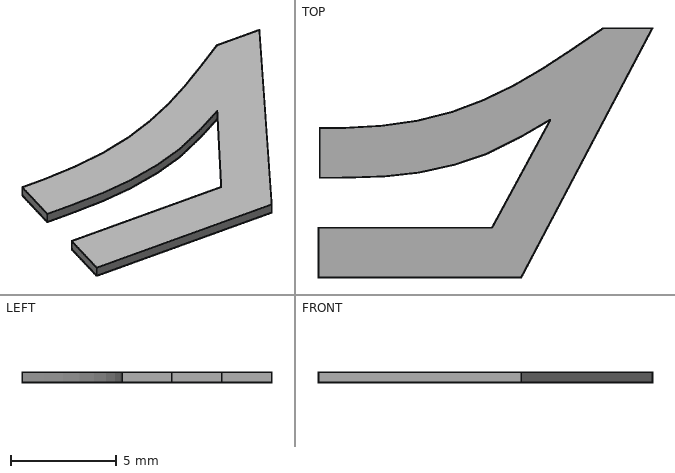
import cadquery as cq

LENGTH = 15.85
WIDTH = 11.84
THICKNESS = 0.5

BAND = WIDTH / 5

LOWER_ARM_OUTER_LENGTH = 9.62
LOWER_ARM_INNER_LENGTH = 8.23

TIP_FLAT_LENGTH = 2.34

UPPER_ARM_START_X = 0.05
UPPER_ARM_BOTTOM_Y = 2 * BAND
UPPER_ARM_TOP_Y = 3 * BAND

CROTCH = (11.0, 7.49)

UPPER_FOLDS = [
    (1.25, 7.11),
    (3.00, 7.21),
    (4.69, 7.45),
    (6.32, 7.86),
    (7.83, 8.43),
    (9.26, 9.12),
    (10.60, 9.90),
    (11.95, 10.78),
]
LOWER_FOLDS = [
    (1.42, 4.74),
    (3.17, 4.80),
    (4.77, 4.98),
    (6.45, 5.35),
    (7.97, 5.86),
    (9.61, 6.68),
]


def lower_arm_and_leg_outside():
    """Outer edge: free end of the lower arm, its underside, the slant and the tip."""
    return [
        (0, BAND),
        (0, 0),
        (LOWER_ARM_OUTER_LENGTH, 0),
        (LENGTH, WIDTH),
        (LENGTH - TIP_FLAT_LENGTH, WIDTH),
    ]


def upper_arm():
    """Faceted arm: back along its upper edge, across the free end, out along its lower edge."""
    free_end = [
        (UPPER_ARM_START_X, UPPER_ARM_TOP_Y),
        (UPPER_ARM_START_X, UPPER_ARM_BOTTOM_Y),
    ]
    return UPPER_FOLDS[::-1] + free_end + LOWER_FOLDS


def inside_corners():
    """Inner edge of the slanted leg, which ends at the top of the lower arm."""
    return [CROTCH, (LOWER_ARM_INNER_LENGTH, BAND)]


outline = lower_arm_and_leg_outside() + upper_arm() + inside_corners()
result = cq.Workplane("XY").polyline(outline).close().extrude(THICKNESS)